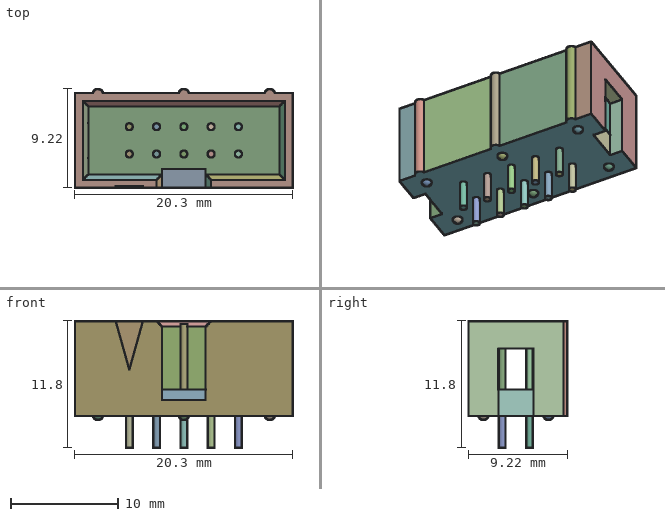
import cadquery as cq

length = 20.32
width = 8.85
height = 8.85
floor_height = 2.5
wall = 1.25
rim_chamfer = 0.5

notch_width = 4.06
notch_depth = 1.77
notch_bottom = 1.5

end_slot_width = 3.27
end_slot_height = 6.3

pitch = 2.55
columns = 5
rows = 2
pin_diameter = 0.65
pin_top = 8.6
pin_bottom = -2.95

mark_width = pitch
mark_height = 4.53
mark_depth = 0.16
mark_x = -pitch * (columns - 1) / 2

bump_spacing = 8.0
bump_diameter = 0.98
bump_projection = 0.37
bump_inset = bump_diameter / 2 - bump_projection
foot_y = 3.03

front_y = -width / 2
back_y = width / 2
bump_positions_x = (-bump_spacing, 0, bump_spacing)


def block(size_x, size_y, bottom, top, x=0, y=0):
    """Upright box centred at (x, y) between two heights."""
    return (
        cq.Workplane("XY", origin=(x, y, bottom))
        .rect(size_x, size_y)
        .extrude(top - bottom)
    )


def make_shroud():
    """Open-topped box with a chamfered rim and a keying notch."""
    cavity = block(length - 2 * wall, width - 2 * wall, floor_height, height)
    shell = block(length, width, 0, height).cut(cavity)

    notch_y = front_y + notch_depth / 2
    shell = shell.cut(block(notch_width, notch_depth, notch_bottom, height, y=notch_y))

    flare = (
        cq.Workplane("XY", origin=(0, 0, height))
        .rect(length - 2 * wall + 2 * rim_chamfer, width - 2 * wall + 2 * rim_chamfer)
        .workplane(offset=-rim_chamfer)
        .rect(length - 2 * wall, width - 2 * wall)
        .loft(ruled=True)
    )
    half_notch = notch_width / 2
    notch_flare = (
        cq.Workplane("XZ", origin=(0, front_y + wall, 0))
        .moveTo(-half_notch - rim_chamfer, height)
        .lineTo(half_notch + rim_chamfer, height)
        .lineTo(half_notch, height - rim_chamfer)
        .lineTo(-half_notch, height - rim_chamfer)
        .close()
        .extrude(wall)
    )
    return shell.cut(flare).cut(notch_flare)


def make_end_slot(side):
    """Opening through one end wall, from the underside up."""
    slot_x = side * (length - wall) / 2
    return block(wall, end_slot_width, 0, end_slot_height, x=slot_x)


def make_mark():
    """Shallow triangle recessed in the front face, pointing down."""
    return (
        cq.Workplane("XZ", origin=(mark_x, front_y + mark_depth, 0))
        .moveTo(-mark_width / 2, height)
        .lineTo(mark_width / 2, height)
        .lineTo(0, height - mark_height)
        .close()
        .extrude(mark_depth)
    )


def make_ribs():
    """Round ribs over the full height of the back wall."""
    return (
        cq.Workplane("XY")
        .pushPoints([(x, back_y - bump_inset) for x in bump_positions_x])
        .circle(bump_diameter / 2)
        .extrude(height)
    )


def make_feet():
    """Domed feet in two rows under the shroud."""
    return (
        cq.Workplane("XY", origin=(0, 0, bump_inset))
        .pushPoints([(x, y) for x in bump_positions_x for y in (-foot_y, foot_y)])
        .sphere(bump_diameter / 2)
    )


def make_pins():
    """Straight pins standing through the floor."""
    return (
        cq.Workplane("XY", origin=(0, 0, pin_bottom))
        .rarray(pitch, pitch, columns, rows)
        .circle(pin_diameter / 2)
        .extrude(pin_top - pin_bottom)
    )


shroud = make_shroud().cut(make_mark())
for end in (-1, 1):
    shroud = shroud.cut(make_end_slot(end))

result = shroud.union(make_ribs()).union(make_feet()).union(make_pins())